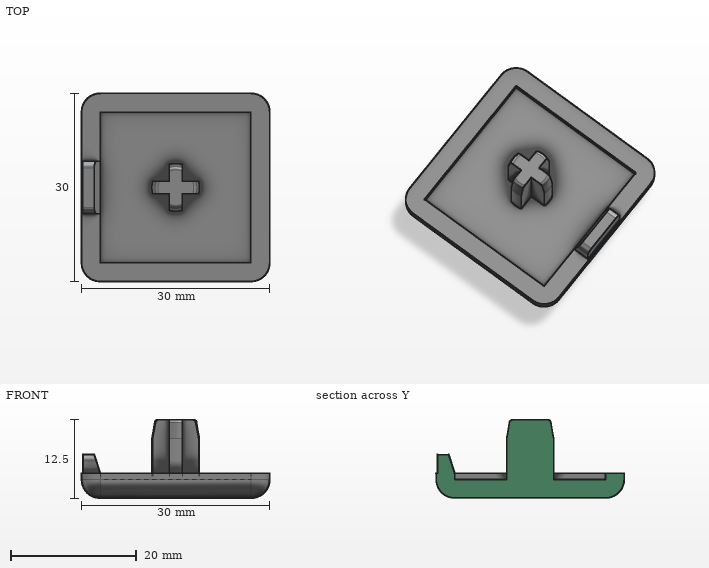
import cadquery as cq
import math

plate_side = 30.0
plate_height = 4.0
edge_radius = 3.0
recess_side = plate_side - 2 * edge_radius
recess_depth = 1.0

total_height = 12.5
stem_radius = 7.6 / 2
arm_width = 2.05
taper_height = 3.0
taper_angle = 10.0
stem_tip_radius = 0.5

clip_setback = 0.25
clip_top_thickness = 1.8
clip_height = 3.0
clip_width = 8.3
clip_corner_radius = 1.0


def make_plate():
    """Square plate with rounded corners, a rounded lower rim and a square recess."""
    plate = (
        cq.Workplane("XY")
        .rect(plate_side, plate_side)
        .extrude(plate_height)
    )
    plate = plate.edges("|Z or <Z").fillet(edge_radius)
    recess = (
        cq.Workplane("XY", origin=(0, 0, plate_height - recess_depth))
        .rect(recess_side, recess_side)
        .extrude(recess_depth)
    )
    return plate.cut(recess)


def make_stem():
    """Cross trimmed by a cylinder that tapers to a rounded tip."""
    floor = plate_height - recess_depth
    stem_height = total_height - floor
    tip_radius = stem_radius - taper_height * math.tan(math.radians(taper_angle))
    envelope = (
        cq.Workplane("XZ")
        .moveTo(0, floor)
        .lineTo(stem_radius, floor)
        .lineTo(stem_radius, total_height - taper_height)
        .lineTo(tip_radius, total_height)
        .lineTo(0, total_height)
        .close()
        .revolve(360, (0, 0, 0), (0, 1, 0))
        .faces(">Z")
        .edges()
        .fillet(stem_tip_radius)
    )
    base = cq.Workplane("XY", origin=(0, 0, floor))
    arm_x = base.rect(2 * stem_radius, arm_width).extrude(stem_height)
    arm_y = base.rect(arm_width, 2 * stem_radius).extrude(stem_height)
    return arm_x.union(arm_y).intersect(envelope)


def make_clip():
    """Upright clip with a sloped inner face and rounded upper ends."""
    outer_x = -plate_side / 2 + clip_setback
    inner_x = -recess_side / 2
    clip_top = plate_height + clip_height
    side_profile = (
        cq.Workplane("XZ")
        .moveTo(outer_x, plate_height)
        .lineTo(inner_x, plate_height)
        .lineTo(outer_x + clip_top_thickness, clip_top)
        .lineTo(outer_x, clip_top)
        .close()
        .extrude(clip_width / 2, both=True)
    )
    rounded_block = (
        cq.Workplane("XY", origin=((outer_x + inner_x) / 2, 0, plate_height))
        .rect(inner_x - outer_x, clip_width)
        .extrude(clip_height)
        .edges(">Z and |X")
        .fillet(clip_corner_radius)
    )
    return side_profile.intersect(rounded_block)


result = make_plate().union(make_stem()).union(make_clip())